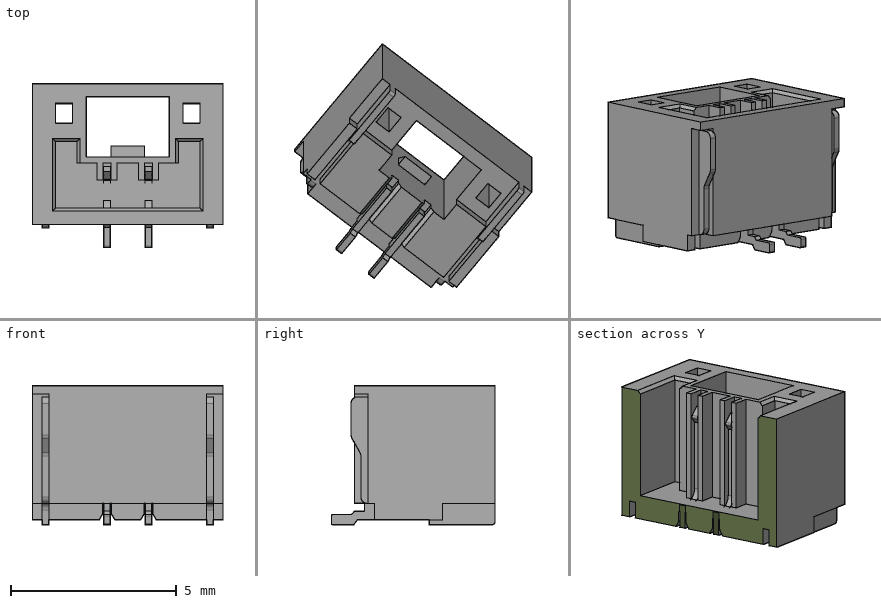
import cadquery as cq
import math


width = 5.76
depth = 4.25
top_z = 4.2
base_z = 0.645
pedestal_bottom = 0.15
pedestal_front = 0.605
pedestal_back = 2.655

cavity_half_width = 2.18
cavity_front = 0.5
cavity_back = 2.505
cavity_floor = 0.9
arm_inner_x = 1.53
web_front = 1.855
lead_in = 0.1

window_width = 2.5
window_front = 2.045
window_back = 3.855
latch_width = 1.02
latch_reach = 0.33
latch_top = 2.88
latch_slope = 64.0

hole_width = 0.5
hole_offset = 1.925
hole_front = 3.06
hole_back = 3.665
hole_draft = 0.025

pitch = 1.25
terminal_places = [-pitch / 2, pitch / 2]
terminal_width = 0.2
guide_gap = 0.255
rib_thickness = 0.17
rib_front = 1.35
groove_mouth_width = 0.465
groove_flare_z = 0.335

tail_tip = 0.695
tail_top = 0.31
tail_rounding = 0.045
tail_root_top = 0.41
bend_top_run = 0.085
bend_bottom_back = 0.1
bend_bottom_front = 0.02
post_front = 0.3
post_back = 0.72
post_top = 1.845
post_rounding = 0.3
fork_cover = 0.045
fork_floor = cavity_floor - fork_cover
prong_root_rounding = 0.345
prong_tip = 1.335
prong_back = 1.75
stem_front = 1.5
contact_top = 3.75
slope_run = 0.27
undercut_height = 0.2
bump_rounding = 0.07

clip_thickness = 0.2
clip_inset = 0.3
clip_embed = 0.2
notch_width = clip_inset + clip_thickness
notch_depth = 0.415
notch_top = 3.94
clip_top = 3.86
clip_bulge = 0.105
clip_recess = 0.195
clip_bulge_bottom = 2.655
clip_slope_angle = 60.0
clip_end_rounding = 0.195
clip_bend_rounding = 0.215
foot_front = 2.26
foot_rounding = 0.09


def box(x0, x1, y0, y1, z0, z1):
    """A box between the given limits."""
    return cq.Workplane("XY").box(x1 - x0, y1 - y0, z1 - z0, centered=False).translate((x0, y0, z0))


def extrude_along_x(points, thickness, x_centre):
    """A plate with a (Y, Z) outline, centred at the given X."""
    plate = cq.Workplane("YZ").polyline(points).close().extrude(thickness / 2, both=True)
    return plate.translate((x_centre, 0, 0))


def round_corner(plate, y, z, radius):
    """Round the plate's X-parallel edge that passes through (y, z)."""
    reach = 0.0005
    corner = cq.selectors.BoxSelector((-width, y - reach, z - reach), (width, y + reach, z + reach))
    return plate.edges(corner).fillet(radius)


def cavity_outline(margin):
    """The U-shaped cavity outline, grown by a margin on all walls but the web."""
    outer_x = cavity_half_width + margin
    inner_x = arm_inner_x - margin
    front = cavity_front - margin
    back = cavity_back + margin
    return [
        (-outer_x, front), (outer_x, front), (outer_x, back), (inner_x, back),
        (inner_x, web_front), (-inner_x, web_front), (-inner_x, back), (-outer_x, back),
    ]


def cavity_mouth():
    """The chamfer around the cavity, as a loft from the narrow to the wide outline."""
    lower = cq.Workplane("XY", origin=(0, 0, top_z - lead_in)).polyline(cavity_outline(0)).close()
    upper = lower.workplane(offset=lead_in).polyline(cavity_outline(lead_in)).close()
    return upper.loft(ruled=True)


def plug_cavity():
    """The plug cavity with its chamfered mouth."""
    straight = cq.Workplane("XY", origin=(0, 0, cavity_floor)).polyline(cavity_outline(0)).close()
    return straight.extrude(top_z - cavity_floor).union(cavity_mouth())


def guide_ribs(x_centre):
    """The pair of ribs that flank one contact."""
    ribs = cq.Workplane("XY")
    for side in (-1, 1):
        rib_x = x_centre + side * (guide_gap + rib_thickness) / 2
        half = rib_thickness / 2
        ribs = ribs.add(box(rib_x - half, rib_x + half, rib_front, web_front, cavity_floor, top_z))
    return ribs.combine()


def latch():
    """The wedge on the front wall of the window, with a flat catch underneath."""
    drop = latch_reach * math.tan(math.radians(latch_slope))
    outline = [
        (window_front, latch_top),
        (window_front + latch_reach, latch_top - drop),
        (window_front, latch_top - drop),
    ]
    return extrude_along_x(outline, latch_width, 0)


def side_hole(x_centre):
    """A through hole with a slightly drafted back wall."""
    outline = [
        (hole_front, base_z), (hole_front, top_z),
        (hole_back, top_z), (hole_back - hole_draft, base_z),
    ]
    return extrude_along_x(outline, hole_width, x_centre)


def terminal_groove(x_centre):
    """The groove through the pedestal, flared at the bottom."""
    half = guide_gap / 2
    mouth = groove_mouth_width / 2
    outline = [
        (-mouth, pedestal_bottom), (-half, groove_flare_z), (-half, base_z),
        (half, base_z), (half, groove_flare_z), (mouth, pedestal_bottom),
    ]
    groove = cq.Workplane("XZ").polyline(outline).close().extrude(-depth)
    return groove.translate((x_centre, 0, 0))


def side_clip(x_centre):
    """The clip: a bulged strip at the front, and a foot under the back of the housing."""
    slope_drop = (clip_bulge + clip_recess) * math.tan(math.radians(clip_slope_angle))
    slope_bottom = clip_bulge_bottom - slope_drop
    outline = [
        (depth, 0), (foot_front, 0), (foot_front, base_z),
        (clip_recess, base_z), (clip_recess, slope_bottom),
        (-clip_bulge, clip_bulge_bottom), (-clip_bulge, clip_top),
        (notch_depth, clip_top), (notch_depth, base_z + clip_embed), (depth, base_z + clip_embed),
    ]
    clip = extrude_along_x(outline, clip_thickness, x_centre)
    clip = round_corner(clip, depth, 0, foot_rounding)
    clip = round_corner(clip, clip_recess, base_z, clip_end_rounding)
    clip = round_corner(clip, foot_front, base_z, clip_end_rounding)
    clip = round_corner(clip, clip_recess, slope_bottom, clip_bend_rounding)
    clip = round_corner(clip, -clip_bulge, clip_bulge_bottom, clip_bend_rounding)
    return round_corner(clip, -clip_bulge, clip_top, clip_end_rounding)


def make_terminal(x_centre):
    """The terminal: solder tail, and a fork of a front post and a contact prong."""
    outline = [
        (-tail_tip, 0), (-bend_bottom_front, 0), (bend_bottom_back, pedestal_bottom),
        (prong_back, pedestal_bottom), (prong_back, contact_top),
        (prong_tip + slope_run, contact_top), (prong_tip, contact_top - slope_run),
        (stem_front, contact_top - slope_run - undercut_height), (stem_front, fork_floor),
        (post_back, fork_floor), (post_back, post_top),
        (post_front, post_top), (post_front, tail_root_top),
        (0, tail_root_top), (-bend_top_run, tail_top), (-tail_tip, tail_top),
    ]
    terminal = extrude_along_x(outline, terminal_width, x_centre)
    terminal = round_corner(terminal, -tail_tip, 0, tail_rounding)
    terminal = round_corner(terminal, -tail_tip, tail_top, tail_rounding)
    terminal = round_corner(terminal, post_back, post_top, post_rounding)
    terminal = round_corner(terminal, stem_front, fork_floor, prong_root_rounding)
    return round_corner(terminal, prong_tip, contact_top - slope_run, bump_rounding)


def make_housing(terminals):
    """The housing with its side clips, and recesses that match the terminals."""
    half = width / 2
    housing = box(-half, half, 0, depth, base_z, top_z)
    housing = housing.union(box(-half, half, pedestal_front, pedestal_back, pedestal_bottom, base_z))
    housing = housing.cut(plug_cavity())
    window_half = window_width / 2
    housing = housing.cut(box(-window_half, window_half, window_front, window_back, pedestal_bottom, top_z))
    housing = housing.union(latch())

    for side in (-1, 1):
        edge = side * half
        notch_end = side * (half - notch_width)
        slot_start = side * (half - clip_inset)
        notch_x = sorted((edge, notch_end))
        slot_x = sorted((slot_start, notch_end))
        housing = housing.cut(box(*notch_x, 0, notch_depth, base_z, notch_top))
        housing = housing.cut(box(*slot_x, pedestal_front, pedestal_back, pedestal_bottom, base_z))
        housing = housing.cut(side_hole(side * hole_offset))
        housing = housing.union(side_clip((slot_start + notch_end) / 2))

    for x_centre in terminal_places:
        housing = housing.union(guide_ribs(x_centre))
        housing = housing.cut(terminal_groove(x_centre))
    for terminal in terminals:
        housing = housing.cut(terminal)
    return housing


terminals = [make_terminal(x_centre) for x_centre in terminal_places]
housing = make_housing(terminals)

result = cq.Compound.makeCompound([housing.val(), *[terminal.val() for terminal in terminals]])